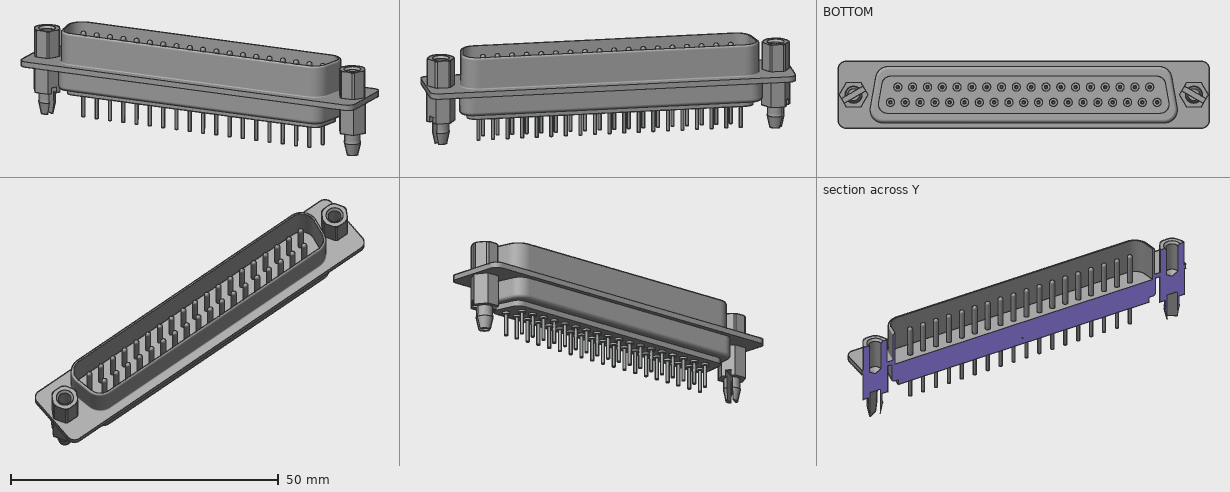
import cadquery as cq
import math


FLANGE_LENGTH = 69.3
FLANGE_WIDTH = 12.55
FLANGE_THICKNESS = 1.05
FLANGE_CORNER_RADIUS = 1.5

D_SLOPE_ANGLE = 10
D_SLOPE = math.tan(math.radians(D_SLOPE_ANGLE))
SHELL_HALF_LENGTH = 28.0
SHELL_HALF_WIDTH = 4.65
SHELL_HEIGHT = 6.0
SHELL_CORNER_RADIUS = 3.05
SHELL_WALL = 0.5
SHELL_RIM_RADIUS = 0.4
SHELL_FOOT_RADIUS = 0.2
CAVITY_FLOOR = -FLANGE_THICKNESS

BACK_HALF_LENGTH = 28.2
BACK_HALF_WIDTH = 5.3
BACK_CORNER_RADIUS = 2.4
BACK_BOTTOM = -5.0
BACK_EDGE_RADIUS = 0.6

INSULATOR_HALF_LENGTH = 26.8
INSULATOR_HALF_WIDTH = 3.5
INSULATOR_CORNER_RADIUS = 1.65
INSULATOR_BOTTOM = -6.1

ROW_SPACING = 2.85
ROW_OFFSET = ROW_SPACING / 2
WIDE_ROW_COUNT = 19
NARROW_ROW_COUNT = WIDE_ROW_COUNT - 1
WIDE_ROW_SPAN = 49.8
PIN_PITCH = WIDE_ROW_SPAN / (WIDE_ROW_COUNT - 1)
PIN_RADIUS = 0.5
PIN_TOP = 5.05
TAIL_RADIUS = 0.31
TAIL_CHAMFER = 0.105
TAIL_BOTTOM = -10.7
COLLAR_RADIUS = 0.75
COLLAR_HEIGHT = 0.4

SCREW_SPACING = 63.5
HEX_SIDES = 6
HEX_FLATS = 4.65
HEX_TURNED_RADIUS = 2.55
HEX_TOP = 5.2
HEX_BOTTOM = -6.9
HEX_TOP_CHAMFER = 0.15
BORE_RADIUS = 1.2
BORE_CHAMFER = 0.4
BORE_DEPTH = 6.25
DRILL_POINT_ANGLE = 118
NECK_RADIUS = 1.5
NECK_BOTTOM = -8.5
BARB_RADIUS = 1.6
BARB_Z = -9.0
TIP_RADIUS = 1.1
TIP_BOTTOM = -11.3
SLOT_WIDTH = 1.05
SLOT_DEPTH_IN_HEX = 1.1
SLOT_TOP = HEX_BOTTOM + SLOT_DEPTH_IN_HEX
SLOT_ANGLE = 30


def d_block(half_length, half_width, corner_radius, bottom, top):
    """Extruded trapezoid with rounded corners, wider on the +Y side."""
    taper = half_width * D_SLOPE
    wide = half_length + taper
    narrow = half_length - taper
    corners = [
        (-wide, half_width),
        (wide, half_width),
        (narrow, -half_width),
        (-narrow, -half_width),
    ]
    block = cq.Workplane("XY").workplane(offset=bottom).polyline(corners).close().extrude(top - bottom)
    return block.edges("|Z").fillet(corner_radius)


def revolved(profile):
    """Full turn about Z of (radius, height) points that start and end on the axis."""
    return cq.Workplane("XZ").polyline(profile).close().revolve(360, (0, 0, 0), (0, 1, 0))


def cylinder(radius, bottom, top):
    return cq.Workplane("XY").workplane(offset=bottom).circle(radius).extrude(top - bottom)


def housing():
    """Flange, hollow plug shell above it, solid back and insulator step below it."""
    flange = (
        cq.Workplane("XY")
        .box(FLANGE_LENGTH, FLANGE_WIDTH, FLANGE_THICKNESS, centered=(True, True, False))
        .translate((0, 0, -FLANGE_THICKNESS))
        .edges("|Z")
        .fillet(FLANGE_CORNER_RADIUS)
    )
    shell = d_block(SHELL_HALF_LENGTH, SHELL_HALF_WIDTH, SHELL_CORNER_RADIUS, 0, SHELL_HEIGHT)
    shell = shell.faces(">Z").edges().fillet(SHELL_RIM_RADIUS)
    inner_x = FLANGE_LENGTH / 2 - FLANGE_CORNER_RADIUS
    inner_y = FLANGE_WIDTH / 2 - FLANGE_CORNER_RADIUS
    inner_z = FLANGE_THICKNESS / 2
    foot_edges = cq.selectors.BoxSelector((-inner_x, -inner_y, -inner_z), (inner_x, inner_y, inner_z))
    body = flange.union(shell).edges(foot_edges).fillet(SHELL_FOOT_RADIUS)
    cavity = d_block(
        SHELL_HALF_LENGTH - SHELL_WALL,
        SHELL_HALF_WIDTH - SHELL_WALL,
        SHELL_CORNER_RADIUS - SHELL_WALL,
        CAVITY_FLOOR,
        SHELL_HEIGHT,
    )
    back = d_block(
        BACK_HALF_LENGTH,
        BACK_HALF_WIDTH,
        BACK_CORNER_RADIUS,
        BACK_BOTTOM,
        -FLANGE_THICKNESS,
    )
    back = back.faces("<Z").edges().fillet(BACK_EDGE_RADIUS)
    insulator = d_block(
        INSULATOR_HALF_LENGTH,
        INSULATOR_HALF_WIDTH,
        INSULATOR_CORNER_RADIUS,
        INSULATOR_BOTTOM,
        BACK_BOTTOM,
    )
    return body.cut(cavity).union(back).union(insulator)


def contact():
    """Round-tipped pin above the insulator, with a collar and solder tail below it."""
    pin = cylinder(PIN_RADIUS, CAVITY_FLOOR, PIN_TOP - PIN_RADIUS)
    pin = pin.union(cq.Workplane("XY").sphere(PIN_RADIUS).translate((0, 0, PIN_TOP - PIN_RADIUS)))
    collar = cylinder(COLLAR_RADIUS, INSULATOR_BOTTOM - COLLAR_HEIGHT, INSULATOR_BOTTOM)
    tail = cylinder(TAIL_RADIUS, TAIL_BOTTOM, INSULATOR_BOTTOM)
    tail = tail.faces("<Z").edges().chamfer(TAIL_CHAMFER)
    return pin, collar.union(tail)


def contact_positions():
    """Two rows, the shorter one staggered by half a pitch."""
    positions = []
    for count, y in ((WIDE_ROW_COUNT, ROW_OFFSET), (NARROW_ROW_COUNT, -ROW_OFFSET)):
        first = -PIN_PITCH * (count - 1) / 2
        positions += [(first + PIN_PITCH * i, y) for i in range(count)]
    return positions


def screw(slot_angle):
    """Hex jack screw with a split board lock below, returned with the blind bore in its top."""
    hex_diameter = HEX_FLATS / math.cos(math.pi / HEX_SIDES)
    lower_hex = (
        cq.Workplane("XY")
        .workplane(offset=HEX_BOTTOM)
        .polygon(HEX_SIDES, hex_diameter)
        .extrude(-HEX_BOTTOM)
    )
    upper_hex = cq.Workplane("XY").polygon(HEX_SIDES, hex_diameter).extrude(HEX_TOP)
    turned = cylinder(HEX_TURNED_RADIUS, 0, HEX_TOP).faces(">Z").edges().chamfer(HEX_TOP_CHAMFER)
    hexagon = lower_hex.union(upper_hex.intersect(turned))

    lock = revolved(
        [
            (0, HEX_BOTTOM),
            (NECK_RADIUS, HEX_BOTTOM),
            (NECK_RADIUS, NECK_BOTTOM),
            (BARB_RADIUS, BARB_Z),
            (TIP_RADIUS, TIP_BOTTOM),
            (0, TIP_BOTTOM),
        ]
    )
    bore_end = HEX_TOP - BORE_DEPTH
    point_depth = BORE_RADIUS / math.tan(math.radians(DRILL_POINT_ANGLE / 2))
    bore = revolved(
        [
            (0, HEX_TOP),
            (BORE_RADIUS + BORE_CHAMFER, HEX_TOP),
            (BORE_RADIUS, HEX_TOP - BORE_CHAMFER),
            (BORE_RADIUS, bore_end),
            (0, bore_end - point_depth),
        ]
    )
    slot = (
        cq.Workplane("XY")
        .box(2 * hex_diameter, SLOT_WIDTH, SLOT_TOP - TIP_BOTTOM, centered=(True, True, False))
        .translate((0, 0, TIP_BOTTOM))
        .rotate((0, 0, 0), (0, 0, 1), slot_angle)
    )
    return hexagon.union(lock).cut(slot), bore


result = housing()

pin, collar_and_tail = contact()
for x, y in contact_positions():
    result = result.union(pin.translate((x, y, 0)))
    result = result.union(collar_and_tail.translate((x, y, 0)))

for side in (-1, 1):
    jack_screw, bore = screw(side * SLOT_ANGLE)
    place = (side * SCREW_SPACING / 2, 0, 0)
    result = result.union(jack_screw.translate(place)).cut(bore.translate(place))